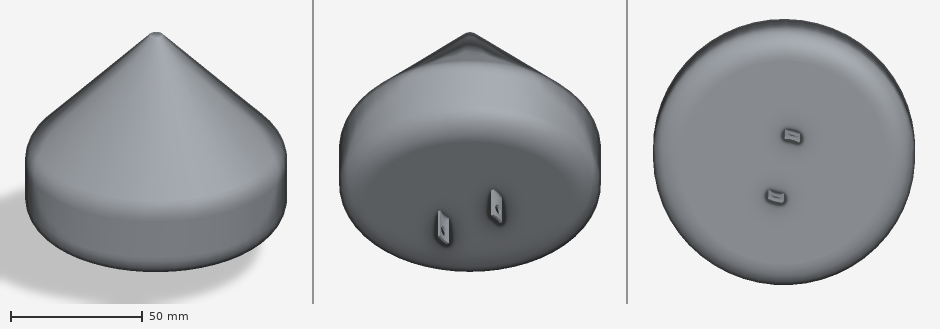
import cadquery as cq
import math

body_radius = 50.0
cylinder_height = 30.0
body_height = 80.0
cone_tip_radius = 2.5
rim_fillet = 10.0
tip_fillet = 1.0

tab_outer_radius = 13.0
tab_thickness = 1.0
tab_width = 6.0
tab_length = 12.0
tab_hole_diameter = 4.0
tab_hole_edge_distance = 4.0
tab_overlap = 1.0


def make_body():
    """Revolve the half profile, with rounded corners tangent to their neighbours."""
    normal_angle = math.atan2(body_radius - cone_tip_radius, body_height - cylinder_height)
    rim_centre_radius = body_radius - rim_fillet
    shoulder_tangent = rim_fillet * math.tan(normal_angle / 2)
    shoulder_centre_z = cylinder_height - shoulder_tangent
    tip_tangent = tip_fillet * math.tan((math.pi / 2 - normal_angle) / 2)
    tip_centre_radius = cone_tip_radius - tip_tangent
    tip_centre_z = body_height - tip_fillet

    def rim_point(centre_z, angle):
        return (
            rim_centre_radius + rim_fillet * math.cos(angle),
            centre_z + rim_fillet * math.sin(angle),
        )

    def tip_point(angle):
        return (
            tip_centre_radius + tip_fillet * math.cos(angle),
            tip_centre_z + tip_fillet * math.sin(angle),
        )

    profile = (
        cq.Workplane("XZ")
        .lineTo(rim_centre_radius, 0)
        .threePointArc(rim_point(rim_fillet, -math.pi / 4), (body_radius, rim_fillet))
        .lineTo(body_radius, shoulder_centre_z)
        .threePointArc(
            rim_point(shoulder_centre_z, normal_angle / 2),
            rim_point(shoulder_centre_z, normal_angle),
        )
        .lineTo(*tip_point(normal_angle))
        .threePointArc(
            tip_point((normal_angle + math.pi / 2) / 2),
            (tip_centre_radius, body_height),
        )
        .lineTo(0, body_height)
        .close()
    )
    return profile.revolve(360, (0, 0, 0), (0, 1, 0))


def make_tabs():
    """Keep the two opposite strips of a tube and drill both along X."""
    total_length = tab_length + tab_overlap
    tube = (
        cq.Workplane("XY", origin=(0, 0, -tab_length))
        .circle(tab_outer_radius)
        .circle(tab_outer_radius - tab_thickness)
        .extrude(total_length)
    )
    band = (
        cq.Workplane("XY", origin=(0, 0, -tab_length))
        .rect(2 * tab_outer_radius, tab_width)
        .extrude(total_length)
    )
    hole = (
        cq.Workplane("YZ")
        .center(0, tab_hole_edge_distance - tab_length)
        .circle(tab_hole_diameter / 2)
        .extrude(tab_outer_radius, both=True)
    )
    return tube.intersect(band).cut(hole)


result = make_body().union(make_tabs())